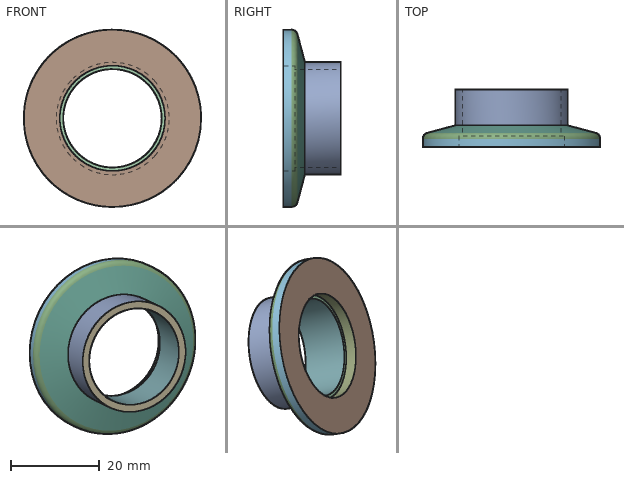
import cadquery as cq
import math

flange_diameter = 40.0
total_length = 13.0
tube_diameter = 25.4
bore_diameter = 22.1

tube_length = 8.1
cone_angle = 15.0
rim_fillet = 1.4

recess_diameter = 23.7
recess_depth = 2.6

flange_radius = flange_diameter / 2
tube_radius = tube_diameter / 2
cone_top = total_length - tube_length
rim_height = cone_top - (flange_radius - tube_radius) * math.tan(math.radians(cone_angle))


def bore_cutter(diameter, depth):
    """Cylinder running from the flange face (Y = 0) toward +Y."""
    return cq.Workplane("XZ").circle(diameter / 2).extrude(-depth)


flange = (
    cq.Workplane("XY")
    .lineTo(flange_radius, 0)
    .lineTo(flange_radius, rim_height)
    .lineTo(tube_radius, cone_top)
    .lineTo(0, cone_top)
    .close()
    .revolve(360, (0, 0, 0), (0, 1, 0))
)
rim_corner = cq.selectors.NearestToPointSelector((0, rim_height, 0))
flange = flange.edges("%CIRCLE").edges(rim_corner).fillet(rim_fillet)

tube = cq.Workplane("XZ").circle(tube_radius).extrude(-total_length)
result = (
    flange.union(tube)
    .cut(bore_cutter(bore_diameter, total_length))
    .cut(bore_cutter(recess_diameter, recess_depth))
)